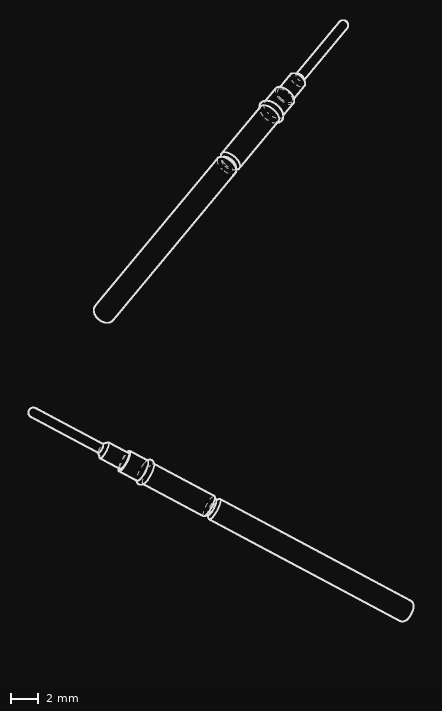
import cadquery as cq

LENGTH = 32.0

PIN_DIAMETER = 0.75
NECK_DIAMETER = 1.3
BODY_DIAMETER = 1.65
COLLAR_DIAMETER = 2.0
GROOVE_ROOT_DIAMETER = 1.28

NECK_START = 6.0
BODY_START = 8.0
COLLAR_START = 9.5
COLLAR_WIDTH = 0.5
GROOVE_START = 15.1
GROOVE_WIDTH = 0.48

TIP_ROUND = 0.35
NECK_CHAMFER = (NECK_DIAMETER - PIN_DIAMETER) / 2
TAIL_ROUND = 0.4


def cylinder(start, end, diameter):
    """Cylinder on the Y axis from one station to the next."""
    tip_y = LENGTH / 2
    plane = cq.Plane(origin=(0, tip_y - start, 0), xDir=(1, 0, 0), normal=(0, -1, 0))
    return cq.Workplane(plane).circle(diameter / 2).extrude(end - start)


def make_pin():
    """Slender contact pin with a rounded tip."""
    return cylinder(0, BODY_START, PIN_DIAMETER).faces(">Y").edges().fillet(TIP_ROUND)


def make_neck():
    """Short sleeve with a chamfered front edge."""
    return cylinder(NECK_START, BODY_START, NECK_DIAMETER).faces(">Y").edges().chamfer(NECK_CHAMFER)


def make_body():
    """Long barrel with a rounded tail."""
    return cylinder(BODY_START, LENGTH, BODY_DIAMETER).faces("<Y").edges().fillet(TAIL_ROUND)


def make_collar():
    """Bead-shaped stop collar: a ring with a half-round rim."""
    bead_radius = COLLAR_WIDTH / 2
    rim_radius = COLLAR_DIAMETER / 2
    shoulder_radius = rim_radius - bead_radius
    front_y = LENGTH / 2 - COLLAR_START
    rear_y = front_y - COLLAR_WIDTH
    section = (
        cq.Workplane("XY")
        .moveTo(0, front_y)
        .lineTo(shoulder_radius, front_y)
        .threePointArc((rim_radius, front_y - bead_radius), (shoulder_radius, rear_y))
        .lineTo(0, rear_y)
        .close()
    )
    return section.revolve(360, (0, 0, 0), (0, 1, 0))


def make_groove():
    """Ring cutter for the V groove, with its root midway along the width."""
    body_radius = BODY_DIAMETER / 2
    root_radius = GROOVE_ROOT_DIAMETER / 2
    front_y = LENGTH / 2 - GROOVE_START
    rear_y = front_y - GROOVE_WIDTH
    section = (
        cq.Workplane("XY")
        .moveTo(body_radius, front_y)
        .lineTo(root_radius, front_y - GROOVE_WIDTH / 2)
        .lineTo(body_radius, rear_y)
        .close()
    )
    return section.revolve(360, (0, 0, 0), (0, 1, 0))


result = (
    make_body()
    .union(make_neck())
    .union(make_pin())
    .union(make_collar())
    .cut(make_groove())
)